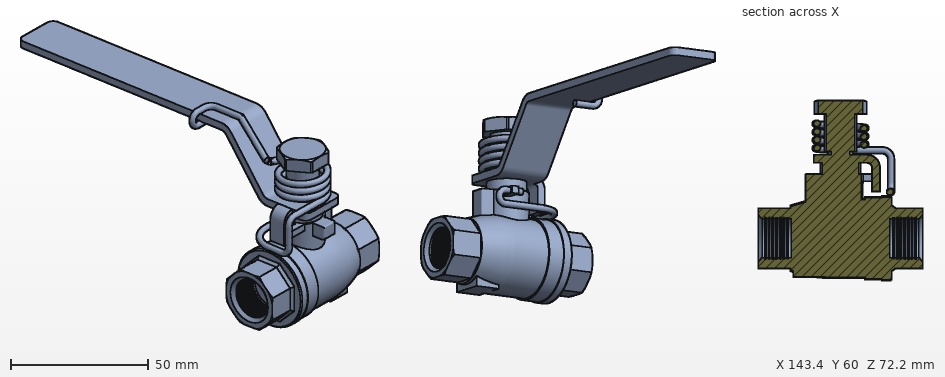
import cadquery as cq
import math


OVERALL_WIDTH = 143.4
OVERALL_HEIGHT = 72.21
HALF_LENGTH = 60.0 / 2

BARREL_RADIUS = 29.0 / 2
SHOULDER_RADIUS = 30.2 / 2
FLANGE_RADIUS = 30.8 / 2
CONE_END_RADIUS = 12.0
CONE_MID_RADIUS = 13.5
CONE_END_Y = 18.2
CONE_MID_Y = 13.0
BARREL_BACK_Y = 5.5
BARREL_FRONT_Y = -8.9
FLANGE_BACK_Y = -15.0
FLANGE_FRONT_Y = -18.7
FLANGE_CHAMFER = 0.5

OCTAGON_FLATS = 22.0
COLLAR_FLATS = 24.0
COLLAR_END_Y = -20.0
OCTAGON_RIM_RADIUS = 22.4 / 2
OCTAGON_CHAMFER = 0.45

BORE_RADIUS = 15.1 / 2
THREAD_RADIUS = 16.37 / 2
BORE_MOUTH_RADIUS = 18.0 / 2
BORE_DEPTH = 12.0
THREAD_PITCH = 1.337
THREAD_COUNT = 7
FIRST_THREAD_DEPTH = 2.7

PAD_HALF_WIDTH = 6.7
PAD_BACK_Y = 17.2
PAD_FRONT_Y = 7.6
PAD_BOTTOM_Z = -14.1

BONNET_RADIUS = 16.37 / 2
BONNET_TOP_Z = 23.4
STEM_RADIUS = 14.75 / 2
LUG_REACH = 12.8
LUG_HALF_WIDTH = 3.2
LUG_EDGE_RADIUS = 0.5
SIDE_LUG_BOTTOM_Z = 18.1
BACK_LUG_BOTTOM_Z = 10.0
BAR_BOTTOM_Z = 20.7
BAR_INNER_OFFSET = 3.0
BAR_OUTER_OFFSET = 5.8

LEVER_THICKNESS = 3.0
LEVER_HALF_WIDTH = 9.75
LEVER_GRIP_TOP_Z = 54.2
LEVER_HUB_TOP_Z = 30.4
LEVER_TIP_X = FLANGE_RADIUS - OVERALL_WIDTH
LEVER_HUB_END_X = 10.1
LEVER_UPPER_BEND_X = -27.7
LEVER_LOWER_BEND_X = -9.8
LEVER_BEND_RADIUS = 6.0
LEVER_CORNER_RADIUS = 2.8
TAB_HALF_WIDTH = 3.3
TAB_OUTER_Y = -14.4
TAB_BOTTOM_Z = 17.0
TAB_BEND_RADIUS = 4.7

BOLT_NECK_RADIUS = 4.5
BOLT_SHANK_RADIUS = 12.0 / 2
BOLT_SHANK_BOTTOM_Z = 31.5
BOLT_HEAD_BOTTOM_Z = 45.2
BOLT_HEAD_TOP_Z = 50.2
BOLT_HEAD_FLATS = 17.0
BOLT_HEAD_CORNER_RADIUS = 9.6
BOLT_HEAD_TOP_RADIUS = 8.4
BOLT_HEAD_CHAMFER = 0.5

WIRE_RADIUS = 2.5 / 2
COIL_RADIUS = 9.0
COIL_BOTTOM_Z = 32.0
COIL_TOP_Z = 42.1
COIL_FULL_TURNS = 3
HOOK_X = -41.0
HOOK_BOTTOM_Z = 50.0
WIRE_TOP_Z = OVERALL_HEIGHT - FLANGE_RADIUS - WIRE_RADIUS
HOOK_END_Y = -3.3
HOOK_TURN_Y = -10.9
HOOK_BEND_RADIUS = 3.2
ARM_Y = -3.8
ARM_UPPER_BEND_X = -26.3
ARM_LOWER_BEND_X = -14.2
ARM_END_X = -12.2
LOOP_FRONT_Y = -18.4
LOOP_BOTTOM_Z = 16.9
LOOP_BEND_RADIUS = 3.2
LOOP_SIDE_RADIUS = 10.8
CATCH_TOP_Z = 22.0
CATCH_TURN_Y = 7.4
CATCH_END_Y = 0.4
LENGTH_TOLERANCE = 1e-6


def box(x_range, y_range, z_range):
    """Axis-aligned block between the given limits."""
    sizes = [high - low for low, high in (x_range, y_range, z_range)]
    return cq.Workplane("XY").box(*sizes, centered=False).translate((x_range[0], y_range[0], z_range[0]))


def cylinder(radius, bottom_z, top_z):
    """Cylinder on the stem axis."""
    return cq.Workplane("XY").workplane(offset=bottom_z).circle(radius).extrude(top_z - bottom_z)


def octagon(flats):
    """Points of an octagon with flats facing the X and Z directions."""
    corner_radius = flats / 2 / math.cos(math.pi / 8)
    angles = [math.pi / 8 + i * math.pi / 4 for i in range(8)]
    return [(corner_radius * math.cos(a), corner_radius * math.sin(a)) for a in angles]


def revolve_about_y(points):
    """Solid of revolution about Y from (radius, y) points."""
    return cq.Workplane("XY").polyline(points).close().revolve(360, (0, 0, 0), (0, 1, 0))


def make_barrel():
    return (
        cq.Workplane("XY")
        .moveTo(0, CONE_END_Y)
        .lineTo(CONE_END_RADIUS, CONE_END_Y)
        .threePointArc((CONE_MID_RADIUS, CONE_MID_Y), (BARREL_RADIUS, BARREL_BACK_Y))
        .lineTo(BARREL_RADIUS, BARREL_FRONT_Y)
        .lineTo(SHOULDER_RADIUS, BARREL_FRONT_Y)
        .lineTo(SHOULDER_RADIUS, FLANGE_BACK_Y)
        .lineTo(FLANGE_RADIUS, FLANGE_BACK_Y)
        .lineTo(FLANGE_RADIUS, FLANGE_FRONT_Y + FLANGE_CHAMFER)
        .lineTo(FLANGE_RADIUS - FLANGE_CHAMFER, FLANGE_FRONT_Y)
        .lineTo(0, FLANGE_FRONT_Y)
        .close()
        .revolve(360, (0, 0, 0), (0, 1, 0))
    )


def make_pipe_ends():
    """Octagonal bar over the full length, chamfered at both ends, plus the tapered front collar."""
    bar = (
        cq.Workplane("XZ", origin=(0, HALF_LENGTH, 0))
        .polyline(octagon(OCTAGON_FLATS)).close().extrude(2 * HALF_LENGTH)
    )
    inner_y = HALF_LENGTH - OCTAGON_CHAMFER
    full_radius = COLLAR_FLATS / 2
    envelope = revolve_about_y([
        (0, HALF_LENGTH), (OCTAGON_RIM_RADIUS, HALF_LENGTH), (full_radius, inner_y),
        (full_radius, -inner_y), (OCTAGON_RIM_RADIUS, -HALF_LENGTH), (0, -HALF_LENGTH),
    ])
    collar = (
        cq.Workplane("XZ", origin=(0, FLANGE_FRONT_Y, 0))
        .polyline(octagon(COLLAR_FLATS)).close()
        .workplane(offset=FLANGE_FRONT_Y - COLLAR_END_Y)
        .polyline(octagon(OCTAGON_FLATS)).close().loft(ruled=True)
    )
    return bar.intersect(envelope).union(collar)


def make_bore_cutter():
    """Grooved blind bore opening at the -Y end."""
    mouth_depth = BORE_MOUTH_RADIUS - BORE_RADIUS
    groove_depth = THREAD_RADIUS - BORE_RADIUS
    points = [(0, -HALF_LENGTH), (BORE_MOUTH_RADIUS, -HALF_LENGTH), (BORE_RADIUS, -HALF_LENGTH + mouth_depth)]
    for i in range(THREAD_COUNT):
        groove_y = -HALF_LENGTH + FIRST_THREAD_DEPTH + i * THREAD_PITCH
        points.append((BORE_RADIUS, groove_y - groove_depth / 2))
        points.append((THREAD_RADIUS, groove_y))
        points.append((BORE_RADIUS, groove_y + groove_depth / 2))
    points.append((BORE_RADIUS, -HALF_LENGTH + BORE_DEPTH))
    points.append((0, -HALF_LENGTH + BORE_DEPTH))
    return revolve_about_y(points)


def make_body():
    pad = box((-PAD_HALF_WIDTH, PAD_HALF_WIDTH), (PAD_FRONT_Y, PAD_BACK_Y), (PAD_BOTTOM_Z, 0))
    bore = make_bore_cutter()
    body = make_barrel().union(make_pipe_ends()).union(pad)
    return body.cut(bore).cut(bore.mirror("XZ"))


def make_bonnet():
    """Round bonnet on the barrel with stop lugs on four sides."""
    wide = (-LUG_HALF_WIDTH, LUG_HALF_WIDTH)
    back_lug = box(wide, (0, LUG_REACH), (BACK_LUG_BOTTOM_Z, BONNET_TOP_Z))
    back_lug = back_lug.faces(">Y").edges().fillet(LUG_EDGE_RADIUS)
    right_lug = box((0, LUG_REACH), wide, (SIDE_LUG_BOTTOM_Z, BONNET_TOP_Z))
    right_lug = right_lug.faces(">X").edges().fillet(LUG_EDGE_RADIUS)
    narrow = (BAR_INNER_OFFSET, BAR_OUTER_OFFSET)
    left_bar = box((-LUG_REACH, 0), narrow, (BAR_BOTTOM_Z, BONNET_TOP_Z))
    front_bar = box(narrow, (-LUG_REACH, 0), (BAR_BOTTOM_Z, BONNET_TOP_Z))
    bonnet = cylinder(BONNET_RADIUS, 0, BONNET_TOP_Z)
    for lug in (back_lug, right_lug, left_bar, front_bar):
        bonnet = bonnet.union(lug)
    return bonnet


def make_lever():
    """Cranked flat lever with a tab folded down at the front of its hub."""
    drop = LEVER_GRIP_TOP_Z - LEVER_HUB_TOP_Z
    slope = math.atan2(drop, LEVER_LOWER_BEND_X - LEVER_UPPER_BEND_X)
    bend_shift = LEVER_THICKNESS * math.tan(slope / 2)
    grip_bottom_z = LEVER_GRIP_TOP_Z - LEVER_THICKNESS
    hub_bottom_z = LEVER_HUB_TOP_Z - LEVER_THICKNESS
    side = [
        (LEVER_TIP_X, LEVER_GRIP_TOP_Z),
        (LEVER_UPPER_BEND_X, LEVER_GRIP_TOP_Z),
        (LEVER_LOWER_BEND_X, LEVER_HUB_TOP_Z),
        (LEVER_HUB_END_X, LEVER_HUB_TOP_Z),
        (LEVER_HUB_END_X, hub_bottom_z),
        (LEVER_LOWER_BEND_X - bend_shift, hub_bottom_z),
        (LEVER_UPPER_BEND_X - bend_shift, grip_bottom_z),
        (LEVER_TIP_X, grip_bottom_z),
    ]
    lever = (
        cq.Workplane("XZ", origin=(0, LEVER_HALF_WIDTH, 0))
        .polyline(side).close().extrude(2 * LEVER_HALF_WIDTH)
    )
    lever = lever.edges("|Z").fillet(LEVER_CORNER_RADIUS)

    upper_x = LEVER_UPPER_BEND_X
    lower_x = LEVER_LOWER_BEND_X
    inner_radius = LEVER_BEND_RADIUS - LEVER_THICKNESS
    for x, z, radius in (
        (upper_x, LEVER_GRIP_TOP_Z, LEVER_BEND_RADIUS),
        (upper_x - bend_shift, grip_bottom_z, inner_radius),
        (lower_x, LEVER_HUB_TOP_Z, inner_radius),
        (lower_x - bend_shift, hub_bottom_z, LEVER_BEND_RADIUS),
    ):
        lever = lever.edges(cq.NearestToPointSelector((x, 0, z))).fillet(radius)

    tab_inner_y = TAB_OUTER_Y + LEVER_THICKNESS
    tab = (
        cq.Workplane("YZ", origin=(-TAB_HALF_WIDTH, 0, 0))
        .moveTo(0, LEVER_HUB_TOP_Z)
        .lineTo(TAB_OUTER_Y + TAB_BEND_RADIUS, LEVER_HUB_TOP_Z)
        .tangentArcPoint((TAB_OUTER_Y, LEVER_HUB_TOP_Z - TAB_BEND_RADIUS), relative=False)
        .lineTo(TAB_OUTER_Y, TAB_BOTTOM_Z)
        .lineTo(tab_inner_y, TAB_BOTTOM_Z)
        .lineTo(tab_inner_y, LEVER_HUB_TOP_Z - TAB_BEND_RADIUS)
        .tangentArcPoint((TAB_OUTER_Y + TAB_BEND_RADIUS, hub_bottom_z), relative=False)
        .lineTo(0, hub_bottom_z)
        .close()
        .extrude(2 * TAB_HALF_WIDTH)
    )
    return lever.union(tab)


def make_stem_bolt():
    """Stem through the lever, shank, and hexagon head with its corners turned off."""
    stem = cylinder(STEM_RADIUS, BONNET_TOP_Z, LEVER_HUB_TOP_Z)
    neck = cylinder(BOLT_NECK_RADIUS, LEVER_HUB_TOP_Z, BOLT_SHANK_BOTTOM_Z)
    shank = cylinder(BOLT_SHANK_RADIUS, BOLT_SHANK_BOTTOM_Z, BOLT_HEAD_BOTTOM_Z)
    head_height = BOLT_HEAD_TOP_Z - BOLT_HEAD_BOTTOM_Z
    hexagon = (
        cq.Workplane("XY", origin=(0, 0, BOLT_HEAD_BOTTOM_Z))
        .polygon(6, BOLT_HEAD_FLATS, circumscribed=True).extrude(head_height)
    )
    turned = (
        cq.Workplane("XZ")
        .polyline([
            (0, BOLT_HEAD_BOTTOM_Z),
            (BOLT_HEAD_CORNER_RADIUS, BOLT_HEAD_BOTTOM_Z),
            (BOLT_HEAD_CORNER_RADIUS, BOLT_HEAD_TOP_Z - BOLT_HEAD_CHAMFER),
            (BOLT_HEAD_TOP_RADIUS, BOLT_HEAD_TOP_Z),
            (0, BOLT_HEAD_TOP_Z),
        ])
        .close().revolve(360, (0, 0, 0), (0, 1, 0))
    )
    return stem.union(neck).union(shank).union(hexagon.intersect(turned))


def sweep_wire(path, start, direction):
    """Round wire swept along a path of edges."""
    section = cq.Workplane(cq.Plane(origin=start, normal=direction)).circle(WIRE_RADIUS)
    return section.sweep(cq.Workplane(obj=path), transition="round")


def rounded_path(points, radii):
    """Wire through the points, with each inner corner rounded by the radius listed for it (0 = sharp)."""
    vectors = [cq.Vector(*p) for p in points]
    edges = []
    last = vectors[0]
    for before, corner, after, radius in zip(vectors, vectors[1:], vectors[2:], radii):
        back = (before - corner).normalized()
        ahead = (after - corner).normalized()
        half_angle = back.getAngle(ahead) / 2
        setback = radius / math.tan(half_angle)
        arc_start = corner + back * setback
        if (arc_start - last).Length > LENGTH_TOLERANCE:
            edges.append(cq.Edge.makeLine(last, arc_start))
        last = arc_start
        if radius > 0:
            middle_gap = radius / math.sin(half_angle) - radius
            arc_middle = corner + (back + ahead).normalized() * middle_gap
            last = corner + ahead * setback
            edges.append(cq.Edge.makeThreePointArc(arc_start, arc_middle, last))
    edges.append(cq.Edge.makeLine(last, vectors[-1]))
    return cq.Wire.assembleEdges(edges)


ARM_DISTANCE = math.hypot(ARM_END_X, ARM_Y)
ARM_ANGLE = math.atan2(ARM_Y, ARM_END_X) + 2 * math.pi
COIL_END_ANGLE = ARM_ANGLE - math.acos(COIL_RADIUS / ARM_DISTANCE)


def make_hook_arm():
    """Hook round the lever edge, then along the lever and down to the coil."""
    turn_radius = (WIRE_TOP_Z - HOOK_BOTTOM_Z) / 2
    turn_tip_y = HOOK_TURN_Y - turn_radius
    coil_end = (COIL_RADIUS * math.cos(COIL_END_ANGLE), COIL_RADIUS * math.sin(COIL_END_ANGLE), COIL_TOP_Z)
    points = [
        (HOOK_X, HOOK_END_Y, HOOK_BOTTOM_Z),
        (HOOK_X, turn_tip_y, HOOK_BOTTOM_Z),
        (HOOK_X, turn_tip_y, WIRE_TOP_Z),
        (HOOK_X, ARM_Y, WIRE_TOP_Z),
        (ARM_UPPER_BEND_X, ARM_Y, WIRE_TOP_Z),
        (ARM_LOWER_BEND_X, ARM_Y, COIL_TOP_Z),
        (ARM_END_X, ARM_Y, COIL_TOP_Z),
        coil_end,
    ]
    path = rounded_path(points, [turn_radius, turn_radius, HOOK_BEND_RADIUS, 0, 0, 0])
    return sweep_wire(path, points[0], (0, -1, 0))


def make_coil():
    turns = COIL_FULL_TURNS + COIL_END_ANGLE / (2 * math.pi)
    height = COIL_TOP_Z - COIL_BOTTOM_Z
    helix = cq.Wire.makeHelix(height / turns, height, COIL_RADIUS, center=cq.Vector(0, 0, COIL_BOTTOM_Z))
    return (
        cq.Workplane("XZ", origin=(COIL_RADIUS, 0, COIL_BOTTOM_Z)).circle(WIRE_RADIUS)
        .sweep(cq.Workplane(obj=helix), isFrenet=True)
    )


def make_lower_loop():
    """From the coil forward and down, round the front-left of the bonnet, to the catch on the left bar."""
    turn_radius = (CATCH_TOP_Z - LOOP_BOTTOM_Z) / 2
    turn_tip_y = CATCH_TURN_Y + turn_radius
    side_x = -LOOP_SIDE_RADIUS
    points = [
        (COIL_RADIUS, 0, COIL_BOTTOM_Z),
        (COIL_RADIUS, LOOP_FRONT_Y, COIL_BOTTOM_Z),
        (COIL_RADIUS, LOOP_FRONT_Y, LOOP_BOTTOM_Z),
        (side_x, LOOP_FRONT_Y, LOOP_BOTTOM_Z),
        (side_x, turn_tip_y, LOOP_BOTTOM_Z),
        (side_x, turn_tip_y, CATCH_TOP_Z),
        (side_x, CATCH_END_Y, CATCH_TOP_Z),
    ]
    radii = [LOOP_BEND_RADIUS, LOOP_BEND_RADIUS, LOOP_SIDE_RADIUS, turn_radius, turn_radius]
    return sweep_wire(rounded_path(points, radii), points[0], (0, -1, 0))


result = make_body()
for piece in (make_bonnet(), make_stem_bolt(), make_lever(), make_hook_arm(), make_coil(), make_lower_loop()):
    result = result.union(piece)